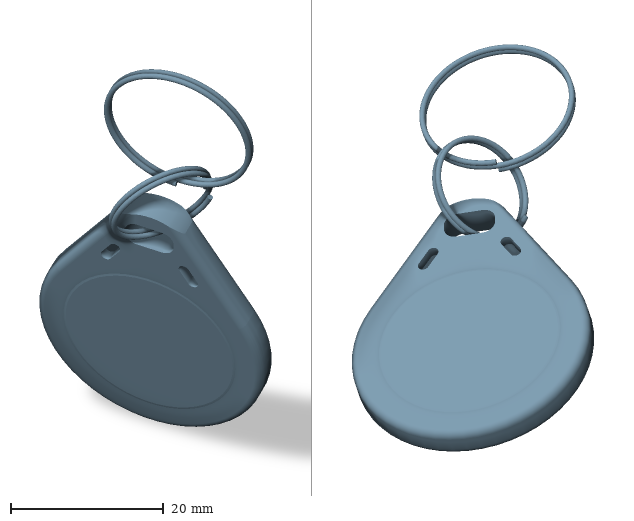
import cadquery as cq
import math

fob_radius = 16.025
fob_thickness = 4.05
fob_edge_fillet = 1.0
fob_top_z = 24.5
flank_angle = 32.4
crown_radius = 6.5

disc_base_diameter = 24.48
disc_top_diameter = 23.82
disc_height = 0.06

eyelet_width = 6.9
eyelet_height = 3.9
eyelet_corner_radius = 1.7
eyelet_center_z = 20.3

pocket_length = 3.85
pocket_width = 1.5
pocket_depth = 1.45
pocket_center_x = 5.55
pocket_center_z = 15.25

wire_diameter = 0.74
coil_pitch = 0.77
coil_turns = 2

large_ring_radius = 10.0
large_ring_center = (3.3, 0, 41.33)

small_ring_radius = 7.0
small_ring_center = (1.28, -0.96, 26.8)
small_ring_heading = 48.0
small_ring_lean = 14.0
small_ring_end_angle = 12.5


def teardrop_plate():
    """Plate with its rim rounded everywhere except on the crown arc."""
    angle = math.radians(flank_angle)
    tangent_x = fob_radius * math.cos(angle)
    tangent_z = fob_radius * math.sin(angle)

    crown_center_z = fob_top_z - crown_radius
    flank_offset = fob_radius - crown_center_z * math.sin(angle)
    along_flank = math.sqrt(crown_radius**2 - flank_offset**2)
    corner_x = flank_offset * math.cos(angle) - along_flank * math.sin(angle)
    corner_z = crown_center_z + flank_offset * math.sin(angle) + along_flank * math.cos(angle)

    plate = (
        cq.Workplane("XZ")
        .moveTo(-tangent_x, tangent_z)
        .threePointArc((0, -fob_radius), (tangent_x, tangent_z))
        .lineTo(corner_x, corner_z)
        .threePointArc((0, fob_top_z), (-corner_x, corner_z))
        .close()
        .extrude(fob_thickness / 2, both=True)
    )
    below_crown = cq.selectors.BoxSelector(
        (-2 * fob_radius, -fob_thickness, -2 * fob_radius),
        (2 * fob_radius, fob_thickness, corner_z - fob_edge_fillet),
    )
    rim = plate.faces("<Y or >Y").edges(below_crown)
    return rim.fillet(fob_edge_fillet)


def raised_disc(outward):
    """Low disc with a tapered edge on the -Y face (outward = -1) or the +Y face (outward = 1)."""
    face_y = outward * fob_thickness / 2
    plane = cq.Plane(origin=(0, face_y, 0), xDir=(1, 0, 0), normal=(0, outward, 0))
    return (
        cq.Workplane(plane)
        .circle(disc_base_diameter / 2)
        .workplane(offset=disc_height)
        .circle(disc_top_diameter / 2)
        .loft()
    )


def eyelet():
    return (
        cq.Workplane("XZ")
        .center(0, eyelet_center_z)
        .rect(eyelet_width, eyelet_height)
        .extrude(fob_thickness, both=True)
        .edges("|Y")
        .fillet(eyelet_corner_radius)
    )


def pocket(side):
    """Blind slot in the -Y face, parallel to the flank on the given side (-1 or 1)."""
    return (
        cq.Workplane("XZ", origin=(0, -fob_thickness / 2, 0))
        .center(side * pocket_center_x, pocket_center_z)
        .slot2D(pocket_length, pocket_width, 90 + side * flank_angle)
        .extrude(-pocket_depth)
    )


def make_fob():
    body = teardrop_plate()
    for outward in (-1, 1):
        body = body.union(raised_disc(outward))
    body = body.cut(eyelet())
    for side in (-1, 1):
        body = body.cut(pocket(side))
    return body


def make_split_ring(radius, center, start_direction, axis):
    """Wire coil advancing along axis, with both ends at start_direction from the center."""
    height = coil_turns * coil_pitch
    path = cq.Wire.makeHelix(coil_pitch, height, radius)
    coil = (
        cq.Workplane("XZ")
        .center(radius, 0)
        .circle(wire_diameter / 2)
        .sweep(cq.Workplane(path), isFrenet=True)
        .translate((0, 0, -height / 2))
    )
    placement = cq.Plane(origin=center, xDir=start_direction, normal=axis)
    return cq.Workplane(coil.val().moved(cq.Location(placement)))


def make_small_ring():
    heading = math.radians(small_ring_heading)
    lean = math.radians(small_ring_lean)
    across = cq.Vector(math.cos(heading), math.sin(heading), 0)
    leaning = cq.Vector(math.sin(heading), -math.cos(heading), 0)
    up = leaning * math.sin(lean) + cq.Vector(0, 0, math.cos(lean))
    end_angle = math.radians(small_ring_end_angle)
    start_direction = across * math.cos(end_angle) - up * math.sin(end_angle)
    return make_split_ring(small_ring_radius, small_ring_center, start_direction, up.cross(across))


fob = make_fob()
small_ring = make_small_ring()
large_ring = make_split_ring(large_ring_radius, large_ring_center, (0, 0, -1), (0, -1, 0))

bodies = [fob.solids().val(), small_ring.val(), large_ring.val()]
result = cq.Compound.makeCompound(bodies)